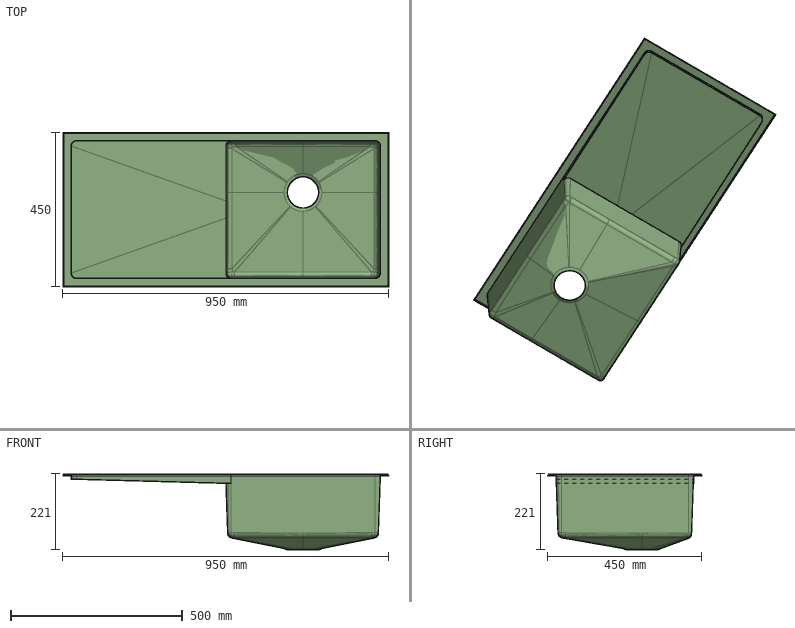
import cadquery as cq
import math

SHEET = 1.0

RIM_LENGTH = 950.0
RIM_WIDTH = 450.0
RIM_HEIGHT = 5.0
RIM_BEVEL = 2.5
RIM_BORDER = 25.0

OPENING_LENGTH = RIM_LENGTH - 2 * RIM_BORDER
OPENING_WIDTH = RIM_WIDTH - 2 * RIM_BORDER
CORNER_RADIUS = 15.0

DRAINER_LENGTH = OPENING_LENGTH / 2
DRAINER_DEPTH_LEFT = 14.0
DRAINER_DEPTH_RIGHT = 26.0
DRAINER_SINK = 0.2
CREASE_START = OPENING_WIDTH / 2 - CORNER_RADIUS
CREASE_END = 25.0

BOWL_LENGTH = OPENING_LENGTH / 2
BOWL_DRAFT = 6.4
WALL_DEPTH = 184.0
FLOOR_BLEND = 15.0
TOTAL_DEPTH = 221.0

DRAIN_X = BOWL_LENGTH / 2
DRAIN_Y = 50.0
DRAIN_RADIUS = 45.0
FUNNEL_RADIUS = 55.0
DRAIN_CONE_HEIGHT = 4.0

TOLERANCE = 1e-3


def rim_prism(inset):
    """Plate with sloping edges and its lowest face at the foot of the rim, shrunk by the inset."""
    slope = math.degrees(math.atan2(RIM_BEVEL, RIM_HEIGHT))
    return (
        cq.Workplane("XY", origin=(0, 0, -RIM_HEIGHT))
        .rect(RIM_LENGTH - 2 * inset, RIM_WIDTH - 2 * inset)
        .extrude(RIM_HEIGHT - inset, taper=slope)
    )


def drainer_section(x, skin):
    """Cross-section of the drainer at the given X: side walls and a shallow three-panel floor."""
    run = (x + DRAINER_LENGTH) / DRAINER_LENGTH
    side_slope = DRAINER_SINK / (OPENING_WIDTH / 2 - CREASE_END)
    half = OPENING_WIDTH / 2 + skin
    crease = CREASE_START + run * (CREASE_END - CREASE_START)
    fall = DRAINER_DEPTH_RIGHT + DRAINER_SINK - DRAINER_DEPTH_LEFT
    centre_z = -(DRAINER_DEPTH_LEFT + run * fall) - skin
    side_z = centre_z + side_slope * (half - crease)
    points = [
        (x, -half, 0),
        (x, -half, side_z),
        (x, -crease, centre_z),
        (x, crease, centre_z),
        (x, half, side_z),
        (x, half, 0),
    ]
    return cq.Wire.makePolygon([cq.Vector(*p) for p in points], close=True)


def drainer_form(skin):
    """Volume of the drainer tray grown by the skin; it runs into the rounded corners of the bowl."""
    left = -DRAINER_LENGTH - skin
    sections = [drainer_section(left, skin), drainer_section(CORNER_RADIUS, skin)]
    tray = cq.Workplane(obj=cq.Solid.makeLoft(sections, True))
    return tray.edges("|Z and <X").fillet(CORNER_RADIUS + skin)


def bowl_outline(inset, depth):
    """Rounded rectangle around the bowl; the inset keeps the corner centres in place.

    The sides are divided in line with the drain, and a negative inset grows the outline.
    """
    x0, x1 = inset, BOWL_LENGTH - inset
    y0, y1 = -OPENING_WIDTH / 2 + inset, OPENING_WIDTH / 2 - inset
    radius = CORNER_RADIUS - inset
    z = -depth

    def corner(cx, cy, start):
        angles = [math.radians(start + step) for step in (0, 45, 90)]
        return cq.Edge.makeThreePointArc(
            *[cq.Vector(cx + radius * math.cos(a), cy + radius * math.sin(a), z) for a in angles]
        )

    def side(*points):
        nodes = [cq.Vector(px, py, z) for px, py in points]
        return [cq.Edge.makeLine(a, b) for a, b in zip(nodes, nodes[1:])]

    left, right = x0 + radius, x1 - radius
    front, back = y0 + radius, y1 - radius
    edges = side((x1, DRAIN_Y), (x1, back))
    edges.append(corner(right, back, 0))
    edges += side((right, y1), (DRAIN_X, y1), (left, y1))
    edges.append(corner(left, back, 90))
    edges += side((x0, back), (x0, DRAIN_Y), (x0, front))
    edges.append(corner(left, front, 180))
    edges += side((left, y0), (DRAIN_X, y0), (right, y0))
    edges.append(corner(right, front, 270))
    edges += side((x1, front), (x1, DRAIN_Y))
    return cq.Wire.assembleEdges(edges)


def drain_outline(outline, depth):
    """Circle at the foot of the funnel, divided in line with the vertices of the bowl outline."""
    centre = cq.Vector(DRAIN_X, DRAIN_Y, -depth)

    def rim_point(angle):
        return centre + cq.Vector(math.cos(angle), math.sin(angle), 0) * FUNNEL_RADIUS

    def bearing(point):
        return math.atan2(point.y - DRAIN_Y, point.x - DRAIN_X) % (2 * math.pi)

    edges = []
    for edge in outline.Edges():
        start = bearing(edge.startPoint())
        end = bearing(edge.endPoint())
        if end < start:
            end += 2 * math.pi
        middle = (start + end) / 2
        edges.append(cq.Edge.makeThreePointArc(rim_point(start), rim_point(middle), rim_point(end)))
    return cq.Wire.assembleEdges(edges)


def bowl_form(skin):
    """Volume of the bowl grown by the skin: drafted walls, blended floor funnel and drain cone."""
    foot_depth = WALL_DEPTH - SHEET + skin
    drain_depth = TOTAL_DEPTH - DRAIN_CONE_HEIGHT - SHEET + skin
    top = bowl_outline(-skin, 0)
    foot = bowl_outline(BOWL_DRAFT - skin, foot_depth)
    drain = drain_outline(foot, drain_depth)
    walls = cq.Workplane(obj=cq.Solid.makeLoft([top, foot], True))
    body = walls.union(cq.Solid.makeLoft([foot, drain], True))

    def lies_at_foot(edge):
        box = edge.BoundingBox()
        return max(abs(box.zmin + foot_depth), abs(box.zmax + foot_depth)) < TOLERANCE

    body = body.edges().filter(lies_at_foot).fillet(FLOOR_BLEND + skin)
    cone = cq.Solid.makeCone(
        FUNNEL_RADIUS,
        DRAIN_RADIUS + skin,
        DRAIN_CONE_HEIGHT,
        pnt=cq.Vector(DRAIN_X, DRAIN_Y, -drain_depth),
        dir=cq.Vector(0, 0, -1),
    )
    return body.union(cone)


def drain_hole():
    """Cylinder that opens the foot of the drain cone."""
    return (
        cq.Workplane("XY", origin=(DRAIN_X, DRAIN_Y, 0))
        .circle(DRAIN_RADIUS)
        .extrude(-TOTAL_DEPTH)
    )


rim = rim_prism(0).cut(rim_prism(SHEET))
outer_skin = rim.union(drainer_form(SHEET)).union(bowl_form(SHEET))
result = outer_skin.cut(drainer_form(0)).cut(bowl_form(0)).cut(drain_hole())